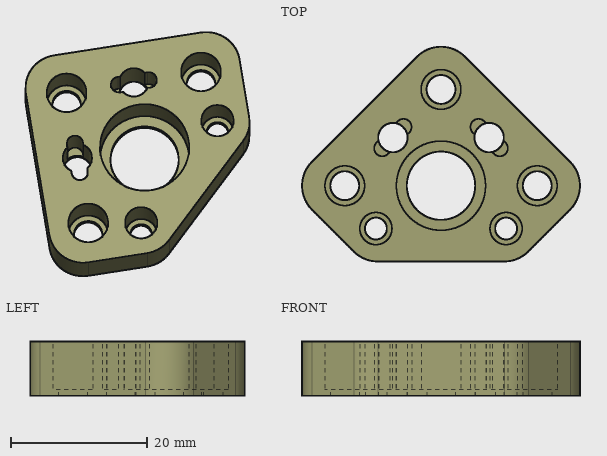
import cadquery as cq
import math

width = 40.8
thickness = 8.0
total_depth = 31.55
corner_radius = 5.0
half_width = width / 2
flat_y = half_width - total_depth
diamond_reach = half_width + corner_radius * (math.sqrt(2) - 1)

recess_depth = 7.02
floor_z = thickness - recess_depth

bore_diameter = 10.0
bore_recess_diameter = 13.1

corner_hole_diameter = 4.2
corner_recess_diameter = 5.85
corner_hole_offset = 14.12
corner_hole_points = [
    (-corner_hole_offset, 0),
    (0, corner_hole_offset),
    (corner_hole_offset, 0),
]

flat_hole_diameter = 3.2
flat_recess_diameter = 4.75
flat_hole_x = 9.55
flat_hole_y = -6.3
flat_hole_points = [(-flat_hole_x, flat_hole_y), (flat_hole_x, flat_hole_y)]

slot_hole_diameter = 4.3
slot_hole_offset = corner_hole_offset / 2
slot_width = 2.35
slot_length = 6.78
slot_angle = 45


def make_plate():
    flat_corner_x = diamond_reach + flat_y
    outline = [
        (-flat_corner_x, flat_y),
        (flat_corner_x, flat_y),
        (diamond_reach, 0),
        (0, diamond_reach),
        (-diamond_reach, 0),
    ]
    plate = cq.Workplane("XY").polyline(outline).close().extrude(thickness)
    return plate.edges("|Z").fillet(corner_radius)


def cut_stepped_holes(body, points, hole_diameter, recess_diameter):
    holes = cq.Workplane("XY").pushPoints(points).circle(hole_diameter / 2).extrude(thickness)
    recesses = (
        cq.Workplane("XY", origin=(0, 0, floor_z))
        .pushPoints(points)
        .circle(recess_diameter / 2)
        .extrude(recess_depth)
    )
    return body.cut(holes).cut(recesses)


def cut_slotted_hole(body, side):
    """Cut one slotted hole; side is -1 for left and 1 for right."""
    x = side * slot_hole_offset
    y = slot_hole_offset
    hole = cq.Workplane("XY").center(x, y).circle(slot_hole_diameter / 2).extrude(thickness)
    slot = (
        cq.Workplane("XY", origin=(x, y, floor_z))
        .slot2D(slot_length, slot_width, -side * slot_angle)
        .extrude(recess_depth)
    )
    return body.cut(hole).cut(slot)


result = make_plate()
result = cut_stepped_holes(result, [(0, 0)], bore_diameter, bore_recess_diameter)
result = cut_stepped_holes(result, corner_hole_points, corner_hole_diameter, corner_recess_diameter)
result = cut_stepped_holes(result, flat_hole_points, flat_hole_diameter, flat_recess_diameter)
for side in (-1, 1):
    result = cut_slotted_hole(result, side)